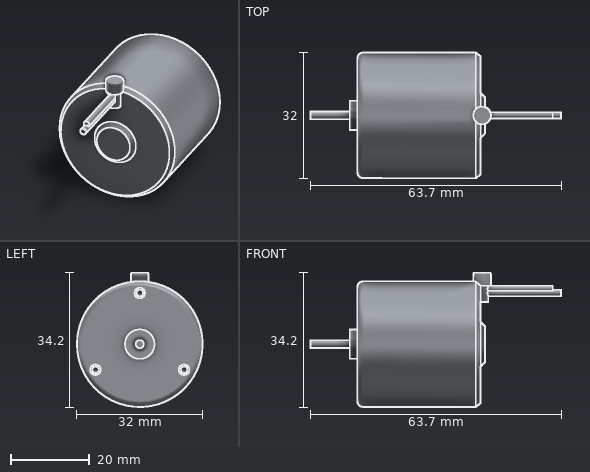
import cadquery as cq
import math

overall_length = 63.7
shaft_tip_x = -overall_length / 2
wire_tip_x = overall_length / 2

can_radius = 16.0
can_length = 31.35
can_front_x = shaft_tip_x + 11.9
can_rear_x = can_front_x + can_length
front_fillet = 1.5
rear_chamfer_length = 1.2
rear_chamfer_depth = 0.95

shaft_radius = 1.0
front_boss_radius = 3.75
front_boss_height = 1.9
rear_boss_base_radius = 5.75
rear_boss_face_radius = 4.6
rear_boss_height = 1.15

hole_count = 3
hole_circle_radius = 13.0
hole_radius = 0.8
countersink_radius = 1.35
countersink_depth = 0.6
hole_depth = 2.55
drill_point_angle = 118

grommet_x = can_rear_x + 0.4
grommet_diameter = 4.5
grommet_top_z = can_radius + 2.15
grommet_height = 3.4
grommet_edge = 0.4
stem_radius = 1.6
stem_height = 4.1

wire_radius = 0.8
lower_wire_z = 13.0
wire_offset = 1.0
upper_wire_setback = 2.1


def cylinder_x(start_x, end_x, radius, y=0, z=0):
    """Solid cylinder parallel to X."""
    plane = cq.Plane(origin=(start_x, y, z), xDir=(0, 1, 0), normal=(1, 0, 0))
    return cq.Workplane(plane).circle(radius).extrude(end_x - start_x)


def make_can():
    """Turned can: rounded front edge, chamfered rear edge and rear boss."""
    arc_offset = front_fillet * (1 - math.sqrt(0.5))
    return (
        cq.Workplane("XY")
        .moveTo(can_front_x, 0)
        .lineTo(can_front_x, can_radius - front_fillet)
        .threePointArc(
            (can_front_x + arc_offset, can_radius - arc_offset),
            (can_front_x + front_fillet, can_radius),
        )
        .lineTo(can_rear_x - rear_chamfer_length, can_radius)
        .lineTo(can_rear_x, can_radius - rear_chamfer_depth)
        .lineTo(can_rear_x, rear_boss_base_radius)
        .lineTo(can_rear_x + rear_boss_height, rear_boss_face_radius)
        .lineTo(can_rear_x + rear_boss_height, 0)
        .close()
        .revolve(360, (0, 0, 0), (1, 0, 0))
    )


def make_mounting_hole(angle):
    """Countersunk blind hole with a conical bottom, cut from the front face."""
    countersink_bottom_x = can_front_x + countersink_depth
    drill_point_length = hole_radius / math.tan(math.radians(drill_point_angle / 2))
    return (
        cq.Workplane("XY")
        .moveTo(can_front_x, 0)
        .lineTo(can_front_x, countersink_radius)
        .lineTo(countersink_bottom_x, hole_radius)
        .lineTo(can_front_x + hole_depth, hole_radius)
        .lineTo(can_front_x + hole_depth + drill_point_length, 0)
        .close()
        .revolve(360, (0, 0, 0), (1, 0, 0))
        .translate((0, 0, hole_circle_radius))
        .rotate((0, 0, 0), (1, 0, 0), angle)
    )


def make_grommet():
    """Round-edged head on a narrower stem, both upright."""
    head_bottom_z = grommet_top_z - grommet_height
    head = (
        cq.Workplane("XY", origin=(grommet_x, 0, head_bottom_z))
        .circle(grommet_diameter / 2)
        .extrude(grommet_height)
        .faces("|Z")
        .edges()
        .fillet(grommet_edge)
    )
    stem = (
        cq.Workplane("XY", origin=(grommet_x, 0, head_bottom_z - stem_height))
        .circle(stem_radius)
        .extrude(stem_height + grommet_height / 2)
    )
    return head.union(stem)


def make_wires():
    """Two overlapping wires, the upper one shorter."""
    lower = cylinder_x(grommet_x, wire_tip_x, wire_radius, z=lower_wire_z)
    upper = cylinder_x(
        grommet_x, wire_tip_x - upper_wire_setback, wire_radius, z=lower_wire_z + wire_offset
    )
    return lower.union(upper)


result = make_can()
result = result.union(cylinder_x(can_front_x - front_boss_height, can_front_x, front_boss_radius))
result = result.union(cylinder_x(shaft_tip_x, can_front_x, shaft_radius))
for index in range(hole_count):
    result = result.cut(make_mounting_hole(index * 360 / hole_count))
result = result.union(make_grommet()).union(make_wires())